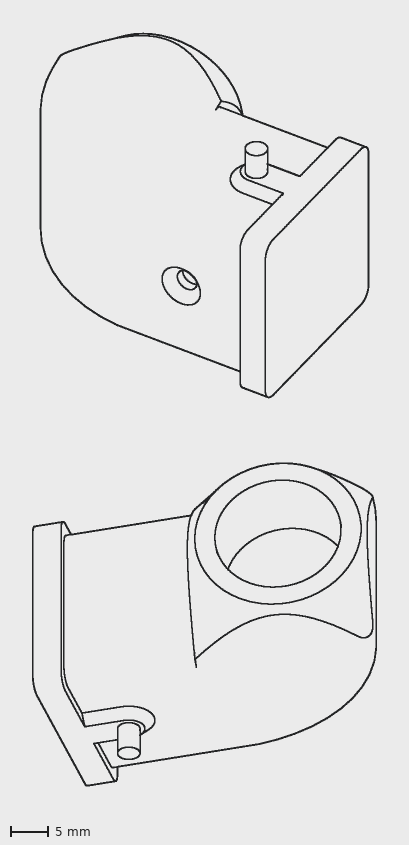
import cadquery as cq
import math

flange_size = 26.65
flange_thickness = 4.0
edge_radius = 2.0

body_size = 23.98
half_body = body_size / 2
bend_start_x = -24.45

collar_tilt = 10.0
collar_width = 24.35
inner_corner_x = -22.25
face_distance = 26.75
collar_face_radius = 11.2
collar_cone_angle = 28.5
collar_axis_shift = -0.3
bore_diameter = 17.0
bore_depth = 12.0

pin_x = -9.5
pin_diameter = 3.0
pin_span = 34.5
pad_base_radius = 3.5
pad_height = (flange_size - body_size) / 2

screw_x = -14.0
screw_diameter = 3.0
countersink_diameter = 6.0
countersink_depth = (countersink_diameter - screw_diameter) / 2
screw_depth = 2.9

tilt = math.radians(collar_tilt)
across = (math.cos(tilt), math.sin(tilt))
along = (-math.sin(tilt), math.cos(tilt))


def collar_point(offset, distance):
    """XY point at an offset across and a distance along the collar direction."""
    return (
        offset * across[0] + distance * along[0],
        offset * across[1] + distance * along[1],
    )


inner_offset = inner_corner_x * across[0] + half_body * across[1]
outer_offset = inner_offset - collar_width
axis_offset = (outer_offset + inner_offset) / 2 + collar_axis_shift

collar_start = inner_corner_x * along[0] + half_body * along[1]
collar_length = face_distance - collar_start
bend_end = collar_point(outer_offset, collar_start)


def make_elbow():
    elbow = (
        cq.Workplane("XY")
        .workplane(offset=-half_body)
        .moveTo(0, -half_body)
        .lineTo(bend_start_x, -half_body)
        .radiusArc(bend_end, collar_width)
        .lineTo(*collar_point(outer_offset, face_distance))
        .lineTo(*collar_point(inner_offset, face_distance))
        .lineTo(inner_corner_x, half_body)
        .lineTo(0, half_body)
        .close()
        .extrude(body_size)
    )
    edges = elbow.faces("|Z").edges()
    rounded = [edge for edge in edges.vals() if is_rounded(edge.Center())]
    return elbow.newObject(rounded).fillet(edge_radius)


def is_rounded(centre):
    """True for the straight run, the bend and the collar's outer side."""
    offset = centre.x * across[0] + centre.y * across[1]
    distance = centre.x * along[0] + centre.y * along[1]
    on_end = centre.x > -flange_thickness or distance > face_distance - edge_radius
    on_inner_side = abs(offset - inner_offset) < 0.5 and centre.y > half_body + 0.5
    return not (on_end or on_inner_side)


def collar_workplane(distance):
    """Plane square to the collar axis, with its normal pointing out of the mouth."""
    plane = cq.Plane(
        origin=(*collar_point(axis_offset, distance), 0),
        xDir=(*across, 0),
        normal=(*along, 0),
    )
    return cq.Workplane(plane)


def make_collar_trim():
    """Material outside the cone that narrows towards the collar face."""
    cone_base_radius = collar_face_radius + collar_length * math.tan(math.radians(collar_cone_angle))
    block = collar_workplane(face_distance).rect(2 * cone_base_radius, 2 * cone_base_radius)
    cone = (
        collar_workplane(face_distance)
        .circle(collar_face_radius)
        .workplane(offset=-collar_length)
        .circle(cone_base_radius)
        .loft(ruled=True)
    )
    return block.extrude(-collar_length).cut(cone)


def make_flange():
    return (
        cq.Workplane("YZ")
        .rect(flange_size, flange_size)
        .extrude(-flange_thickness)
        .edges("|X")
        .fillet(edge_radius)
    )


def make_upper_pad():
    """Sloping pad, round about the pin and running straight into the flange."""
    pad_top_radius = pad_base_radius - pad_height
    round_end = (
        cq.Workplane("XY", origin=(pin_x, 0, half_body))
        .circle(pad_base_radius)
        .workplane(offset=pad_height)
        .circle(pad_top_radius)
        .loft(ruled=True)
    )
    straight = (
        cq.Workplane("YZ", origin=(pin_x, 0, half_body))
        .moveTo(-pad_base_radius, 0)
        .lineTo(-pad_top_radius, pad_height)
        .lineTo(pad_top_radius, pad_height)
        .lineTo(pad_base_radius, 0)
        .close()
        .extrude(-pin_x - flange_thickness / 2)
    )
    return round_end.union(straight)


def make_screw_hole():
    """Countersunk blind hole, revolved about its axis along Y."""
    return (
        cq.Workplane("XY")
        .moveTo(screw_x, -half_body)
        .lineTo(screw_x + countersink_diameter / 2, -half_body)
        .lineTo(screw_x + screw_diameter / 2, -half_body + countersink_depth)
        .lineTo(screw_x + screw_diameter / 2, -half_body + screw_depth)
        .lineTo(screw_x, -half_body + screw_depth)
        .close()
        .revolve(360, (screw_x, 0), (screw_x, 1))
    )


elbow = make_elbow().cut(make_collar_trim())
bore = collar_workplane(face_distance).circle(bore_diameter / 2).extrude(-bore_depth)
pin = cq.Workplane("XY").center(pin_x, 0).circle(pin_diameter / 2).extrude(pin_span / 2, both=True)
pad = make_upper_pad()

result = (
    elbow.cut(bore)
    .cut(make_screw_hole())
    .union(make_flange())
    .union(pad)
    .union(pad.mirror("XY"))
    .union(pin)
)